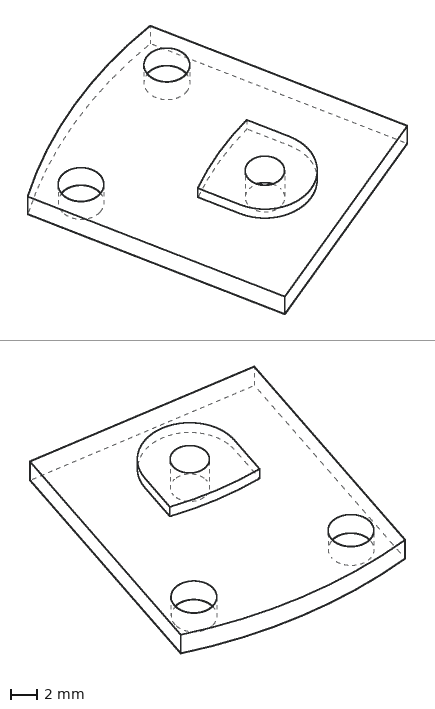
import cadquery as cq
import math

length = 23.45
width = 20.0
plate_thickness = 2.0
total_height = 3.0
bow_radius = 40.0

mount_hole_diameter = 3.5
mount_hole_x = 4.3
mount_hole_spacing = 14.0

boss_left = 12.48
boss_width = 8.0
bore_diameter = 3.0
bore_x = 16.45

boss_radius = boss_width / 2
boss_bow_radius = bow_radius - boss_left


def bow_depth(radius, chord):
    """Height of a circular arc above its chord."""
    return radius - math.sqrt(radius**2 - (chord / 2) ** 2)


def make_plate():
    corner_x = bow_depth(bow_radius, width)
    return (
        cq.Workplane("XY")
        .moveTo(corner_x, -width / 2)
        .lineTo(length, -width / 2)
        .lineTo(length, width / 2)
        .lineTo(corner_x, width / 2)
        .threePointArc((0, 0), (corner_x, -width / 2))
        .close()
        .extrude(plate_thickness)
    )


def make_boss():
    corner_x = boss_left + bow_depth(boss_bow_radius, boss_width)
    return (
        cq.Workplane("XY")
        .moveTo(corner_x, -boss_radius)
        .lineTo(bore_x, -boss_radius)
        .threePointArc((bore_x + boss_radius, 0), (bore_x, boss_radius))
        .lineTo(corner_x, boss_radius)
        .threePointArc((boss_left, 0), (corner_x, -boss_radius))
        .close()
        .extrude(total_height)
    )


def make_through_hole(x, y, diameter):
    return cq.Workplane("XY").center(x, y).circle(diameter / 2).extrude(total_height)


result = make_plate().union(make_boss())
result = result.cut(make_through_hole(bore_x, 0, bore_diameter))
for side in (-1, 1):
    hole_y = side * mount_hole_spacing / 2
    result = result.cut(make_through_hole(mount_hole_x, hole_y, mount_hole_diameter))